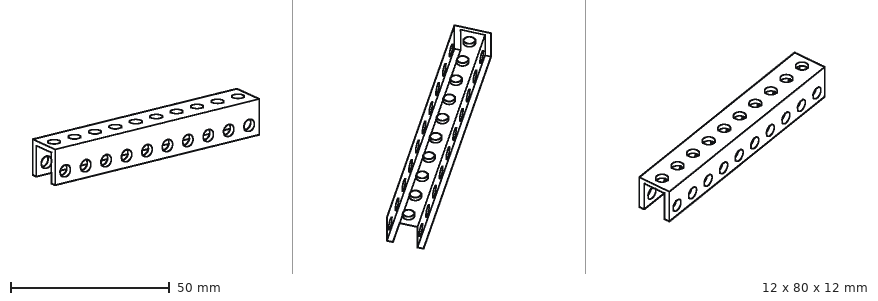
import cadquery as cq

length = 80.0
width = 12.0
height = 12.0
side_wall = 2.0
top_wall = 1.6

hole_diameter = 4.0
hole_pitch = 8.0
hole_count = 10
side_hole_height = 4.0


def channel():
    """U-shaped bar along Y, centred on X and Y, standing on Z = 0."""
    bar = cq.Workplane("XY").box(width, length, height, centered=(True, True, False))
    cavity = cq.Workplane("XY").box(
        width - 2 * side_wall, length, height - top_wall, centered=(True, True, False)
    )
    return bar.cut(cavity)


def top_holes():
    """Row of vertical drills through the top wall."""
    return (
        cq.Workplane("XY")
        .rarray(0.8, hole_pitch, 1, hole_count)
        .circle(hole_diameter / 2)
        .extrude(height)
    )


def side_holes():
    """Row of cross drills through both side walls."""
    return (
        cq.Workplane("YZ")
        .center(0, side_hole_height)
        .rarray(hole_pitch, 0.8, hole_count, 1)
        .circle(hole_diameter / 2)
        .extrude(width / 2, both=True)
    )


result = channel().cut(top_holes()).cut(side_holes())